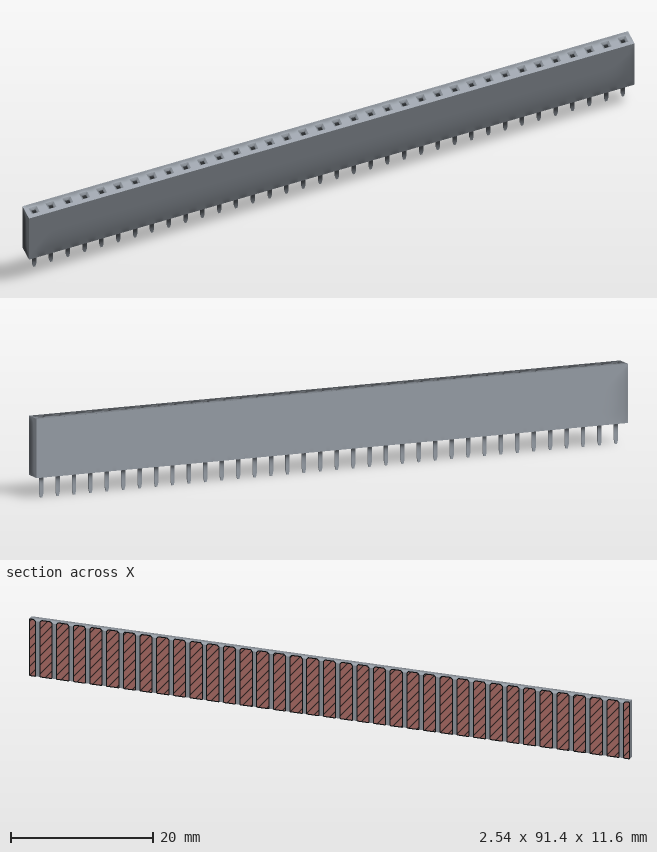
import cadquery as cq

contact_count = 36
pitch = 2.54
body_width = pitch
body_length = contact_count * pitch
body_height = 8.5
overall_height = 11.6

mouth_size = 1.2
socket_size = 0.6
lead_in_depth = (mouth_size - socket_size) / 2

contact_thickness = 0.2
contact_width = socket_size
contact_recess = 3.0
tail_length = overall_height - body_height
tip_width = 0.3
tip_length = 0.6

first_contact_y = -(contact_count - 1) / 2 * pitch
contact_positions = [(0, first_contact_y + i * pitch) for i in range(contact_count)]


def make_body():
    """Plain rectangular housing standing on Z = 0."""
    return cq.Workplane("XY").box(body_width, body_length, body_height, centered=(True, True, False))


def make_socket():
    """Cutter for one socket: a tapered mouth above a straight square through hole."""
    mouth = (
        cq.Workplane("XY", origin=(0, 0, body_height))
        .rect(mouth_size, mouth_size)
        .workplane(offset=-lead_in_depth)
        .rect(socket_size, socket_size)
        .loft(ruled=True)
    )
    hole = cq.Workplane("XY").rect(socket_size, socket_size).extrude(body_height - lead_in_depth)
    return mouth.union(hole)


def make_contact():
    """One flat contact, from its recessed top inside the socket down to the tapered tail tip."""
    top_z = body_height - contact_recess
    shoulder_z = tip_length - tail_length
    return (
        cq.Workplane("YZ")
        .moveTo(-contact_width / 2, top_z)
        .lineTo(contact_width / 2, top_z)
        .lineTo(contact_width / 2, shoulder_z)
        .lineTo(tip_width / 2, -tail_length)
        .lineTo(-tip_width / 2, -tail_length)
        .lineTo(-contact_width / 2, shoulder_z)
        .close()
        .extrude(contact_thickness / 2, both=True)
    )


def at_each_contact(feature):
    """Copies of a feature at every contact position."""
    shape = feature.val()
    return cq.Workplane("XY").pushPoints(contact_positions).eachpoint(lambda place: shape.moved(place))


housing = make_body().cut(at_each_contact(make_socket()))
result = housing.union(at_each_contact(make_contact()))